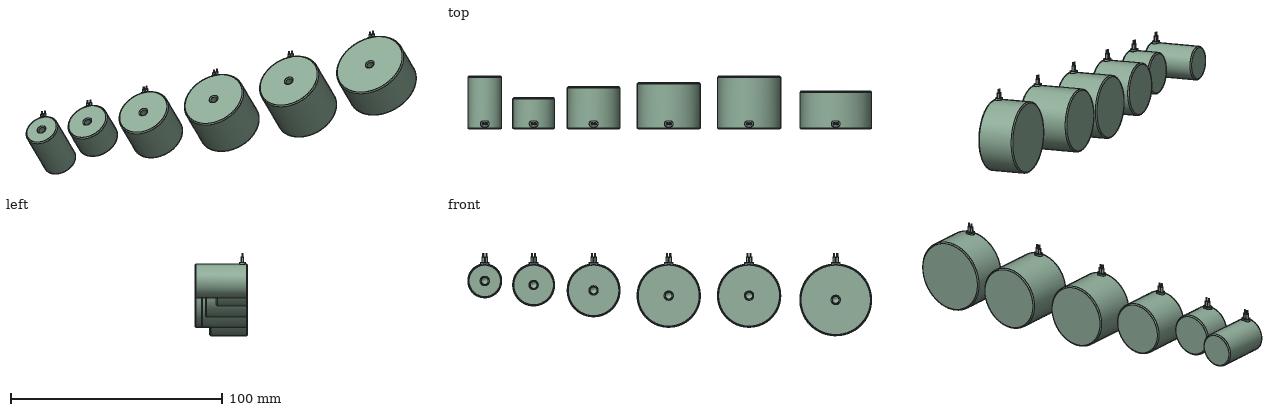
import cadquery as cq

MAGNETS = [
    (16.0, 25.0, 0),
    (20.0, 15.0, 5.2),
    (25.0, 20.1, 6.0),
    (30.0, 22.0, 8.0),
    (30.0, 25.0, 8.0),
    (34.0, 18.0, 9.0),
]
RIM_CHAMFER = 0.5

HOLE_DIAMETER = 3.3
MOUTH_DIAMETER = 4.4
HOLE_DEPTH = 5.0
DRILL_POINT_DEPTH = 1.0

OUTLET_SETBACK = 2.5
GROMMET_WIDTH = 4.2
GROMMET_THICKNESS = 2.9
GROMMET_HEIGHT = 0.8
OUTLET_ROOT = 1.3
WIRE_SPACING = 1.44
INSULATION_DIAMETER = 1.2
INSULATION_TOP = 3.3
CORE_DIAMETER = 0.5
CORE_TOP = 5.0


def housing(diameter, length):
    """Chamfered cylinder from the front face at y = 0 back along +Y, its top line at z = 0."""
    return (
        cq.Workplane("XZ", origin=(0, 0, -diameter / 2))
        .circle(diameter / 2)
        .extrude(-length)
        .faces("<Y or >Y")
        .chamfer(RIM_CHAMFER)
    )


def mounting_hole(diameter):
    """Countersunk blind hole on the magnet's axis, as a turned solid."""
    hole_radius = HOLE_DIAMETER / 2
    mouth_radius = MOUTH_DIAMETER / 2
    countersink_depth = mouth_radius - hole_radius
    return (
        cq.Workplane("XY", origin=(0, 0, -diameter / 2))
        .moveTo(0, 0)
        .lineTo(mouth_radius, 0)
        .lineTo(hole_radius, countersink_depth)
        .lineTo(hole_radius, HOLE_DEPTH)
        .lineTo(0, HOLE_DEPTH + DRILL_POINT_DEPTH)
        .close()
        .revolve(360, (0, 0), (0, 1))
    )


def cable_outlet():
    """Slot-shaped grommet with two stripped wires, all rooted inside the magnet."""
    base = cq.Workplane("XY", origin=(0, OUTLET_SETBACK, -OUTLET_ROOT))
    outlet = base.slot2D(GROMMET_WIDTH, GROMMET_THICKNESS).extrude(OUTLET_ROOT + GROMMET_HEIGHT)
    wires = base.pushPoints([(-WIRE_SPACING / 2, 0), (WIRE_SPACING / 2, 0)])
    insulation = wires.circle(INSULATION_DIAMETER / 2).extrude(OUTLET_ROOT + INSULATION_TOP)
    cores = wires.circle(CORE_DIAMETER / 2).extrude(OUTLET_ROOT + CORE_TOP)
    return outlet.union(insulation).union(cores)


def magnet(diameter, length):
    """One electromagnet: housing, mounting hole and cable outlet as one solid."""
    return housing(diameter, length).union(cable_outlet()).cut(mounting_hole(diameter))


magnets = []
left_edge = 0
for diameter, length, gap in MAGNETS:
    centre_x = left_edge + gap + diameter / 2
    magnets.append(magnet(diameter, length).translate((centre_x, 0, 0)))
    left_edge = centre_x + diameter / 2

result = cq.Compound.makeCompound([body.val() for body in magnets])